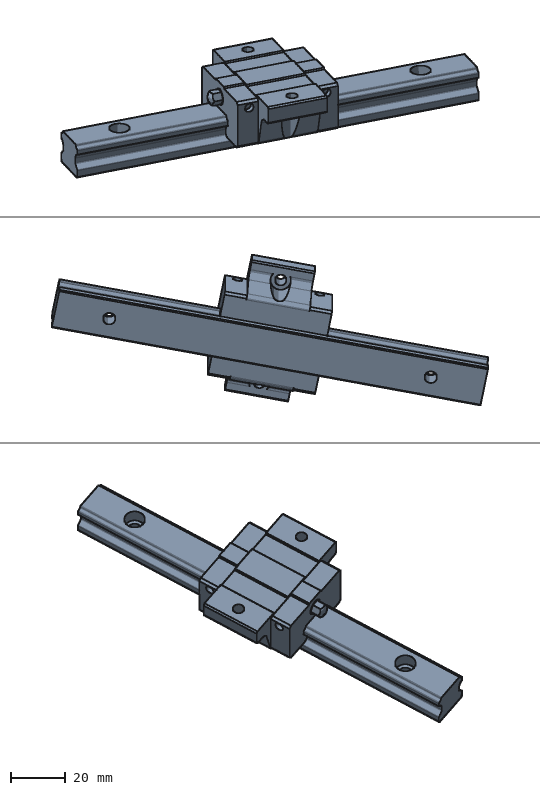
import cadquery as cq
import math

rail_length = 160.0
rail_half_width = 7.5
rail_height = 13.1
rail_neck_half_width = 5.6
rail_corner_radius = 0.3
rail_foot_height = 3.4
rail_neck_bottom = 5.3
rail_foot_chamfer = 0.5
upper_raceway_radius = 1.5
lower_raceway_radius = 1.6
lower_raceway_angle = math.radians(65)
rail_lip_bottom = 9.5
rail_hole_spacing = 120.0
rail_hole_diameter = 4.5
rail_counterbore_diameter = 7.5
rail_counterbore_depth = 5.3

carriage_top = 24.0
carriage_bottom = 4.5
block_length = 23.5
carriage_width = 52.0
flange_half_width = carriage_width / 2
flange_bottom = 17.1
flange_edge_chamfer = 0.6
flank_top_x = 20.0
flank_bottom_x = 16.8
flank_bottom_radius = 2.0
flank_fillet_radius = 3.2
relief_depth = 0.6
relief_wall_run = 0.3
block_ridge_half_width = 5.6
flange_pad_inner_x = 14.4
flange_hole_spacing = 41.0
flange_hole_diameter = 4.2
screw_clearance_diameter = 7.5

carriage_length = 40.0
cap_half_width = 16.6
cap_step = 0.2
cap_top = carriage_top - cap_step
cap_edge_chamfer = 1.0
cap_ridge_half_width = 3.7
cap_hole_diameter = 3.4
cap_hole_depth = 2.4
cap_hole_y = 15.4
cap_hole_z = 20.3

nipple_z = 18.0
nipple_shank_diameter = 6.2
nipple_shank_length = 3.2
nipple_hex_flats = 5.0
nipple_hex_corners = nipple_hex_flats / math.cos(math.pi / 6)
nipple_length = 4.6
nipple_dome_radius = 3.7


def mirrored(right_side):
    """Close an outline from its +X half, listed from bottom to top."""
    left_side = [(-x, z) for x, z in reversed(right_side)]
    return right_side + left_side


def extrude_along_y(outline, length):
    """Extrude an XZ outline symmetrically about Y = 0."""
    return cq.Workplane("XZ").polyline(outline).close().extrude(length / 2, both=True)


def raceway_point(centre_z, radius, angle):
    """Point on a raceway arc centred on the rail's side; the angle is from straight up."""
    return (rail_half_width - radius * math.sin(angle), centre_z + radius * math.cos(angle))


def rail_blank():
    """Rail without its holes: a raceway above and below the lip on each side."""
    lip_top = rail_height - upper_raceway_radius
    upper_middle = raceway_point(rail_height, upper_raceway_radius, 3 * math.pi / 4)
    lower_centre_z = rail_lip_bottom - lower_raceway_radius
    lower_end = raceway_point(lower_centre_z, lower_raceway_radius, lower_raceway_angle)
    lower_middle = raceway_point(lower_centre_z, lower_raceway_radius, lower_raceway_angle / 2)
    tangent_drop = (lower_end[0] - rail_neck_half_width) * math.tan(lower_raceway_angle)
    blank = (
        cq.Workplane("XZ")
        .lineTo(rail_half_width, 0)
        .lineTo(rail_half_width, rail_foot_height)
        .lineTo(rail_neck_half_width, rail_neck_bottom)
        .lineTo(rail_neck_half_width, lower_end[1] - tangent_drop)
        .lineTo(*lower_end)
        .threePointArc(lower_middle, (rail_half_width, rail_lip_bottom))
        .lineTo(rail_half_width, lip_top)
        .threePointArc(upper_middle, (rail_half_width - upper_raceway_radius, rail_height))
        .lineTo(0, rail_height)
        .mirrorY()
        .extrude(rail_length / 2, both=True)
    )
    blank = blank.edges("|Y and (not <Z)").fillet(rail_corner_radius)
    return blank.edges("|Y and <Z").chamfer(rail_foot_chamfer)


def make_rail():
    """Rail with its counterbored fixing holes."""
    hole_places = [(0, side * rail_hole_spacing / 2) for side in (-1, 1)]
    return (
        rail_blank()
        .faces(">Z")
        .workplane(origin=(0, 0, rail_height))
        .pushPoints(hole_places)
        .cboreHole(rail_hole_diameter, rail_counterbore_diameter, rail_counterbore_depth)
    )


def make_block():
    """Carriage block with two flanges and a shallow relief on each side of its top ridge."""
    right_side = [
        (flank_bottom_x, carriage_bottom),
        (flank_top_x, flange_bottom),
        (flange_half_width - flange_edge_chamfer, flange_bottom),
        (flange_half_width, flange_bottom + flange_edge_chamfer),
        (flange_half_width, carriage_top - flange_edge_chamfer),
        (flange_half_width - flange_edge_chamfer, carriage_top),
        (flange_pad_inner_x + relief_wall_run, carriage_top),
        (flange_pad_inner_x, carriage_top - relief_depth),
        (block_ridge_half_width + relief_wall_run, carriage_top - relief_depth),
        (block_ridge_half_width, carriage_top),
    ]
    block = extrude_along_y(mirrored(right_side), block_length)
    rounded_corners = [
        (flank_top_x, flange_bottom, flank_fillet_radius),
        (flank_bottom_x, carriage_bottom, flank_bottom_radius),
    ]
    for side in (-1, 1):
        for x, z, radius in rounded_corners:
            corner = cq.NearestToPointSelector((side * x, 0, z))
            block = block.edges("|Y").edges(corner).fillet(radius)
    return block


def flange_cylinders(diameter, bottom, top):
    """Upright cylinders on the axes of the two flange holes."""
    hole_places = [(side * flange_hole_spacing / 2, 0) for side in (-1, 1)]
    return (
        cq.Workplane("XY", origin=(0, 0, bottom))
        .pushPoints(hole_places)
        .circle(diameter / 2)
        .extrude(top - bottom)
    )


def make_caps():
    """Both end caps: one bar along the carriage with the length of the block removed."""
    right_side = [
        (cap_half_width - cap_edge_chamfer, carriage_bottom),
        (cap_half_width, carriage_bottom + cap_edge_chamfer),
        (cap_half_width, cap_top - relief_depth - cap_edge_chamfer),
        (cap_half_width - cap_edge_chamfer, cap_top - relief_depth),
        (cap_ridge_half_width + relief_wall_run, cap_top - relief_depth),
        (cap_ridge_half_width, cap_top),
    ]
    bar = extrude_along_y(mirrored(right_side), carriage_length)
    middle = cq.Workplane("XY").box(carriage_width, block_length, 2 * carriage_top)
    return bar.cut(middle)


def cap_side_holes():
    """Blind holes in both sides of each end cap."""
    hole_places = [(side * cap_hole_y, cap_hole_z) for side in (-1, 1)]
    pins = cq.Workplane("YZ").pushPoints(hole_places).circle(cap_hole_diameter / 2)
    across = pins.extrude(cap_half_width, both=True)
    core_half_width = cap_half_width - cap_hole_depth
    core = cq.Workplane("XY").box(2 * core_half_width, carriage_length, 2 * carriage_top)
    return across.cut(core)


def nipple_plane():
    """Plane on the -Y end of the carriage, facing -Y, centred on the nipple."""
    return cq.Workplane("XZ", origin=(0, -carriage_length / 2, nipple_z))


def nipple_shank():
    return nipple_plane().circle(nipple_shank_diameter / 2).extrude(-nipple_shank_length)


def make_carriage():
    """Block and end caps, drilled for screws and nipple, with a channel that fits the rail."""
    carriage = make_block().union(make_caps())
    carriage = carriage.cut(flange_cylinders(screw_clearance_diameter, 0, flange_bottom))
    carriage = carriage.cut(flange_cylinders(flange_hole_diameter, 0, carriage_top))
    carriage = carriage.cut(cap_side_holes())
    carriage = carriage.cut(nipple_shank())
    return carriage.cut(rail_blank())


def make_nipple():
    """Hexagonal head with a domed tip on a round shank sunk flush into the end cap."""
    head = nipple_plane().polygon(6, nipple_hex_corners).extrude(nipple_length)
    dome_centre_y = nipple_dome_radius - nipple_length - carriage_length / 2
    dome = (
        cq.Workplane("XY", origin=(0, dome_centre_y, nipple_z))
        .moveTo(0, -nipple_dome_radius)
        .threePointArc((nipple_dome_radius, 0), (0, nipple_dome_radius))
        .close()
        .revolve(360, (0, 0, 0), (0, 1, 0))
    )
    return nipple_shank().union(head.intersect(dome))


rail = make_rail()
carriage = make_carriage()
nipple = make_nipple()

result = cq.Compound.makeCompound([rail.val(), carriage.val(), nipple.val()])